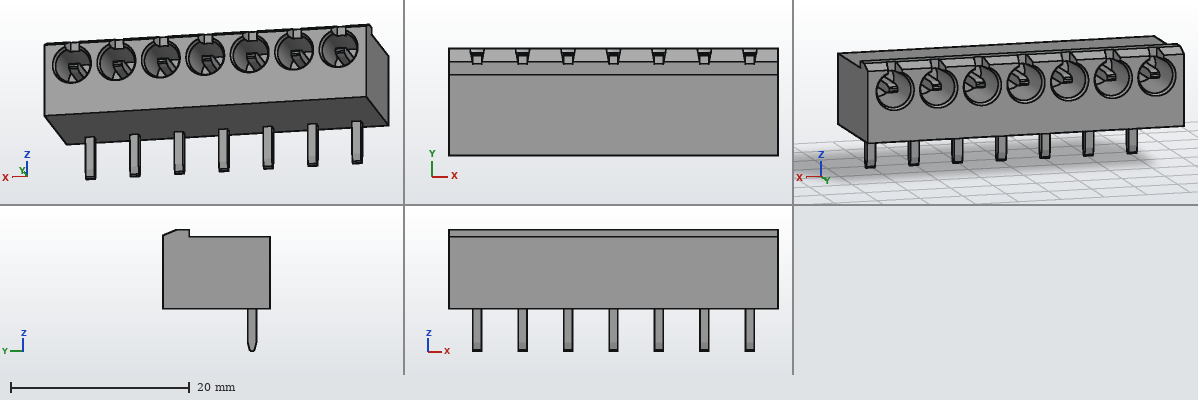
import cadquery as cq
import math


length = 36.85
depth = 12.0
ridge_top = 8.85
ridge_step = 0.77
ridge_depth = 3.0
slope_depth = 1.5
slope_drop = 0.63

way_count = 7
pitch = 5.1

socket_radius = 2.0
socket_height = 5.82
socket_depth = 7.37
mouth_depth = 0.5
mouth_angle = 23.0
mouth_radius = socket_radius + mouth_depth * math.tan(math.radians(mouth_angle))

notch_rear_width = 1.62
notch_front_width = 1.0
notch_depth = 1.75

pin_width = 1.0
pin_axis_y = 2.03
tail_length = 4.75
tip_inset = 0.65
taper_length = 1.0
taper_end = 0.6
tip_length = 0.2
tip_end = 0.25

way_positions = [(way - (way_count - 1) / 2) * pitch for way in range(way_count)]


def make_housing():
    profile = [
        (0, 0),
        (depth, 0),
        (depth, ridge_top - slope_drop),
        (depth - slope_depth, ridge_top),
        (depth - ridge_depth, ridge_top),
        (depth - ridge_depth, ridge_top - ridge_step),
        (0, ridge_top - ridge_step),
    ]
    return cq.Workplane("YZ").polyline(profile).close().extrude(length / 2, both=True)


def make_socket(x):
    """Round blind hole with a conical mouth, revolved about its Y axis."""
    floor_y = depth - socket_depth
    half_section = [
        (0, floor_y),
        (socket_radius, floor_y),
        (socket_radius, depth - mouth_depth),
        (mouth_radius, depth),
        (0, depth),
    ]
    socket = cq.Workplane("XY").polyline(half_section).close().revolve(360, (0, 0), (0, 1))
    return socket.translate((x, 0, socket_height))


def make_notch(x):
    """Slot narrowing towards the front, cut from the ridge down into the socket."""
    outline = [
        (x - notch_rear_width / 2, depth),
        (x + notch_rear_width / 2, depth),
        (x + notch_front_width / 2, depth - notch_depth),
        (x - notch_front_width / 2, depth - notch_depth),
    ]
    height = ridge_top - socket_height
    return cq.Workplane("XY", origin=(0, 0, socket_height)).polyline(outline).close().extrude(height)


def make_pin(x):
    """L-shaped pin: the tail points down and the contact points to the rear."""
    half = pin_width / 2
    contact_tip = depth - tip_inset
    contact_taper = contact_tip - taper_length
    tail_taper = taper_length - tail_length
    profile = [
        (pin_axis_y - half, socket_height + half),
        (contact_taper, socket_height + half),
        (contact_tip - tip_length, socket_height + taper_end / 2),
        (contact_tip, socket_height + tip_end / 2),
        (contact_tip, socket_height - tip_end / 2),
        (contact_tip - tip_length, socket_height - taper_end / 2),
        (contact_taper, socket_height - half),
        (pin_axis_y + half, socket_height - half),
        (pin_axis_y + half, tail_taper),
        (pin_axis_y + taper_end / 2, tip_length - tail_length),
        (pin_axis_y + tip_end / 2, -tail_length),
        (pin_axis_y - tip_end / 2, -tail_length),
        (pin_axis_y - taper_end / 2, tip_length - tail_length),
        (pin_axis_y - half, tail_taper),
    ]
    pin = cq.Workplane("YZ").polyline(profile).close().extrude(half, both=True)
    return pin.translate((x, 0, 0))


result = make_housing()
for position in way_positions:
    result = result.cut(make_socket(position)).cut(make_notch(position))
for position in way_positions:
    result = result.union(make_pin(position))